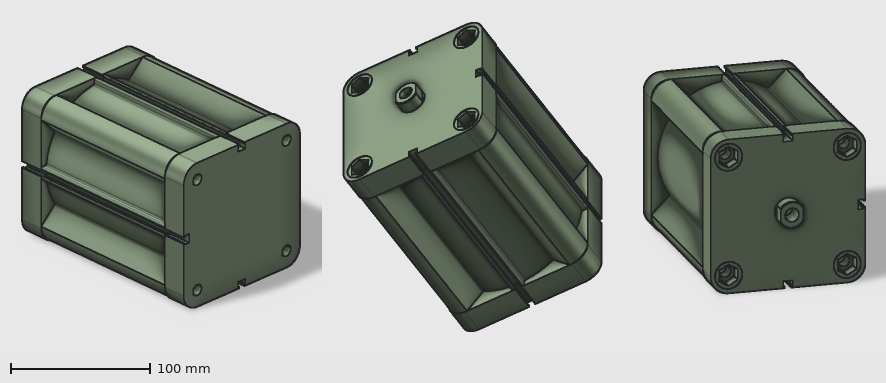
import cadquery as cq
import math

total_length = 177.0
side = 116.0
half_side = side / 2

rod_reach = 10.0
front_cap_length = 20.0
rear_cap_length = 19.5

cap_corner_radius = 13.5
screw_offset = 44.5
screw_hole_diameter = 8.5
socket_across_flats = 14.0
socket_depth = 8.8
screw_recess_diameter = 20.4
screw_recess_depth = 0.5

slot_mouth_width = 5.1
slot_inner_width = 7.0
slot_lip = 1.2
cap_slot_depth = 5.5
barrel_slot_depth = 4.8

tube_radius = 53.1
arm_edge = 42.8
barrel_corner_radius = half_side - arm_edge
rail_half_width = 5.1
edge_radius = 1.2
mouth_radius = 0.5

rod_diameter = 20.0
rod_across_flats = 17.0
rod_flat_length = 9.2
rod_chamfer = 0.5
rod_hole_diameter = 10.3
rod_hole_depth = 16.0
drill_point_angle = 118.0

front_cap_start = rod_reach
barrel_start = front_cap_start + front_cap_length
rear_cap_start = total_length - rear_cap_length
barrel_length = rear_cap_start - barrel_start

screw_points = [(y, z) for y in (-screw_offset, screw_offset) for z in (-screw_offset, screw_offset)]
slot_turns = (0, 90, 180)


def section(x):
    """Workplane across the axis at x: its local axes are Y and Z, its normal is +X."""
    return cq.Workplane("YZ", origin=(x, 0, 0))


def turned(body, angle):
    return body.rotate((0, 0, 0), (1, 0, 0), angle)


def rounded_block(x, length, corner_radius):
    block = section(x).rect(side, side).extrude(length)
    return block.edges("|X").fillet(corner_radius)


def cut_slots(body, x, length, depth):
    """Cut a T-slot of the given depth along each slotted side."""
    mouth = section(x).center(0, half_side - depth / 2).rect(slot_mouth_width, depth).extrude(length)
    inner_height = depth - slot_lip
    inner_centre = half_side - depth + inner_height / 2
    inner = section(x).center(0, inner_centre).rect(slot_inner_width, inner_height).extrude(length)
    slot = mouth.union(inner)
    for angle in slot_turns:
        body = body.cut(turned(slot, angle))
    return body


def screw_holes(x, length):
    return section(x).pushPoints(screw_points).circle(screw_hole_diameter / 2).extrude(length)


def make_cap(x, length):
    cap = cut_slots(rounded_block(x, length, cap_corner_radius), x, length, cap_slot_depth)
    return cap.cut(screw_holes(x, length))


def make_front_cap():
    cap = make_cap(front_cap_start, front_cap_length)
    across_corners = socket_across_flats / math.cos(math.radians(30))
    face = section(front_cap_start).pushPoints(screw_points)
    recesses = face.circle(screw_recess_diameter / 2).extrude(screw_recess_depth)
    hexagon = cq.Sketch().regularPolygon(across_corners / 2, 6)
    sockets = face.placeSketch(hexagon).extrude(screw_recess_depth + socket_depth)
    rod_bore = section(front_cap_start).circle(rod_diameter / 2).extrude(front_cap_length)
    return cap.cut(recesses).cut(sockets).cut(rod_bore)


def side_hollow(has_rail):
    """Space beside the tube on the +Z side, between the corner arms and clear of any slot rail."""
    flank_apex = half_side - arm_edge
    outline = [(-arm_edge, half_side), (0, flank_apex), (arm_edge, half_side)]
    hollow = section(barrel_start).polyline(outline).close().extrude(barrel_length)
    tube = section(barrel_start).circle(tube_radius).extrude(barrel_length)
    hollow = hollow.cut(tube)
    if has_rail:
        rail = section(barrel_start).rect(2 * rail_half_width, 2 * half_side).extrude(barrel_length)
        hollow = hollow.cut(rail)
    foot_zone = cq.selectors.BoxSelector(
        (barrel_start, -arm_edge, 0),
        (rear_cap_start, arm_edge, half_side - edge_radius),
    )
    inside_corners = hollow.edges("|X").edges(foot_zone)
    return inside_corners.fillet(edge_radius)


def round_edges(body, offset, radius):
    """Round the lengthwise outer edges lying at +/- offset on each slotted side."""
    middle = (barrel_start + rear_cap_start) / 2
    for angle in slot_turns:
        body = turned(body, -angle)
        for y in (-offset, offset):
            edge = cq.selectors.NearestToPointSelector((middle, y, half_side))
            body = body.edges("|X").edges(edge).fillet(radius)
        body = turned(body, angle)
    return body


def make_barrel():
    barrel = rounded_block(barrel_start, barrel_length, barrel_corner_radius)
    for angle in (0, 90, 180, 270):
        barrel = barrel.cut(turned(side_hollow(angle in slot_turns), angle))
    barrel = cut_slots(barrel, barrel_start, barrel_length, barrel_slot_depth)
    barrel = round_edges(barrel, rail_half_width, edge_radius)
    barrel = round_edges(barrel, slot_mouth_width / 2, mouth_radius)
    return barrel.cut(screw_holes(barrel_start, barrel_length))


def make_rod():
    rod = section(0).circle(rod_diameter / 2).extrude(barrel_start)
    rod = rod.faces("<X").chamfer(rod_chamfer)
    for direction in (-1, 1):
        flat = (
            section(0)
            .center(direction * (rod_across_flats + rod_diameter) / 2, 0)
            .rect(rod_diameter, 2 * rod_diameter)
            .extrude(rod_flat_length)
        )
        rod = rod.cut(flat)
    hole_radius = rod_hole_diameter / 2
    point_length = hole_radius / math.tan(math.radians(drill_point_angle / 2))
    hole_outline = [
        (0, 0),
        (0, hole_radius),
        (rod_hole_depth, hole_radius),
        (rod_hole_depth + point_length, 0),
    ]
    hole = cq.Workplane("XY").polyline(hole_outline).close().revolve(360, (0, 0, 0), (1, 0, 0))
    return rod.cut(hole)


front_cap = make_front_cap()
barrel = make_barrel()
rear_cap = make_cap(rear_cap_start, rear_cap_length)
rod = make_rod()

result = cq.Compound.makeCompound([front_cap.val(), barrel.val(), rear_cap.val(), rod.val()])